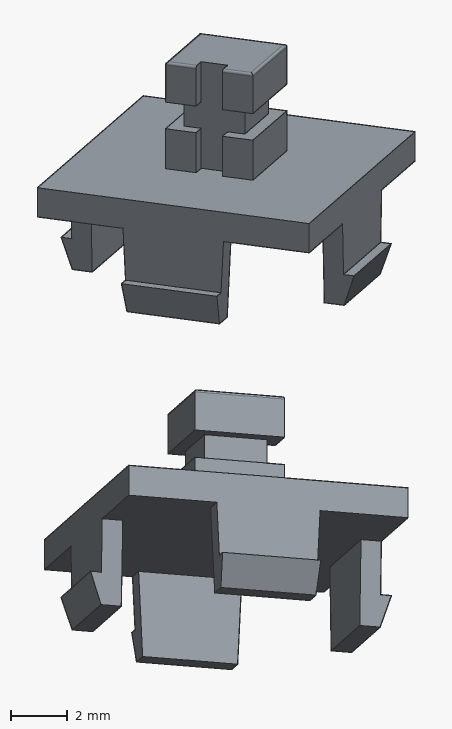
import cadquery as cq

overall_width = 11.09
overall_height = 8.2

hook_overhang = 0.4
plate_width = overall_width - 2 * hook_overhang
plate_thickness = 1.1
plate_bottom = 3.1
plate_top = plate_bottom + plate_thickness

stem_width = 3.3
stem_top_radius = 0.1
neck_width = 2.31
neck_bottom = 5.7
neck_height = 1.0
slot_width = 1.0
slot_depth = (stem_width - neck_width) / 2

clip_thickness = 0.75
clip_root_width = 3.8
clip_tip_width = 3.5
hook_height = 1.18


def make_plate():
    plate = cq.Workplane("XY").box(plate_width, plate_width, plate_thickness, centered=(True, True, False))
    return plate.translate((0, 0, plate_bottom))


def make_stem():
    """Square stem with rounded top edges, a narrow neck all round and a slot down its -Y face."""
    stem_height = overall_height - plate_top
    stem = (
        cq.Workplane("XY", origin=(0, 0, plate_top))
        .rect(stem_width, stem_width)
        .extrude(stem_height)
        .faces(">Z")
        .edges()
        .fillet(stem_top_radius)
    )
    neck_ring = (
        cq.Workplane("XY", origin=(0, 0, neck_bottom))
        .rect(stem_width, stem_width)
        .rect(neck_width, neck_width)
        .extrude(neck_height)
    )
    slot = (
        cq.Workplane("XY", origin=(0, (slot_depth - stem_width) / 2, plate_top))
        .rect(slot_width, slot_depth)
        .extrude(stem_height)
    )
    return stem.cut(neck_ring).cut(slot)


def make_clip():
    """Clip on the +X edge: a hooked profile trimmed to a tapering width."""
    outer = plate_width / 2
    inner = outer - clip_thickness
    profile = (
        cq.Workplane("XZ")
        .moveTo(inner, 0)
        .lineTo(outer, 0)
        .lineTo(outer + hook_overhang, hook_height)
        .lineTo(outer, hook_height)
        .lineTo(outer, plate_bottom)
        .lineTo(inner, plate_bottom)
        .close()
        .extrude(clip_root_width / 2, both=True)
    )
    taper = (
        cq.Workplane("YZ")
        .moveTo(-clip_tip_width / 2, 0)
        .lineTo(clip_tip_width / 2, 0)
        .lineTo(clip_root_width / 2, plate_bottom)
        .lineTo(-clip_root_width / 2, plate_bottom)
        .close()
        .extrude(overall_width / 2)
    )
    return profile.intersect(taper)


result = make_plate().union(make_stem())
clip = make_clip()
for angle in (0, 90, 180, 270):
    result = result.union(clip.rotate((0, 0, 0), (0, 0, 1), angle))